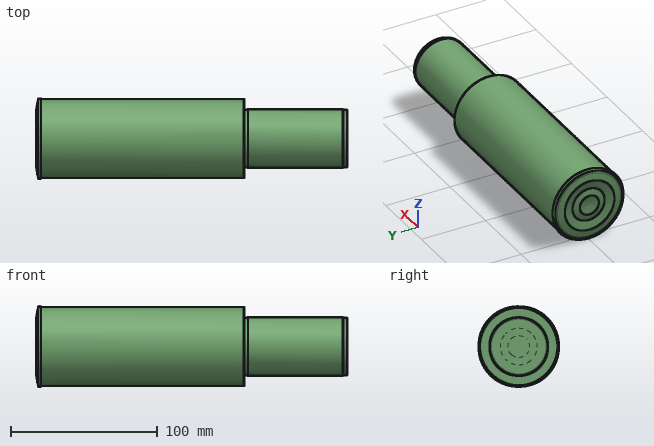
import cadquery as cq

TOTAL_LENGTH = 212.0
BODY_LENGTH = 142.0
BODY_RADIUS = 54.0 / 2
BODY_EDGE_CHAMFER = 0.6

RIM_RADIUS = 55.0 / 2
RIM_X = 2.1
RIM_END_X = 3.4
RIM_START_RADIUS = 26.0
RIM_START_X = 1.3
RIM_BACK_RADIUS = 27.3
RIM_BACK_X = 2.8
DOME_EDGE_RADIUS = 24.5
DOME_EDGE_X = 0.8
CREST_RADIUS = 19.3
VALLEY_RADIUS = 12.5
VALLEY_DEPTH = 1.5
BOSS_RADIUS = 7.5
BOSS_DEPTH = 0.5
CENTER_DEPTH = 1.5

STEM_RADIUS = 40.0 / 2
STEM_END_RADIUS = 39.5 / 2
NECK_LENGTH = 2.1
TIP_LENGTH = 2.8
STEP_TAPER = 0.5
TIP_FILLET = 1.0


def revolve_about_x(profile):
    """Turn a closed (axial position, radius) profile about the X axis."""
    return profile.close().revolve(360, (0, 0, 0), (1, 0, 0))


def make_body():
    """Large cylinder with a flared rim and concentric conical rings on its end face."""
    profile = (
        cq.Workplane("XY")
        .moveTo(CENTER_DEPTH, 0)
        .lineTo(BOSS_DEPTH, BOSS_RADIUS)
        .lineTo(VALLEY_DEPTH, VALLEY_RADIUS)
        .lineTo(0, CREST_RADIUS)
        .lineTo(DOME_EDGE_X, DOME_EDGE_RADIUS)
        .lineTo(RIM_START_X, RIM_START_RADIUS)
        .threePointArc((RIM_X, RIM_RADIUS), (RIM_BACK_X, RIM_BACK_RADIUS))
        .lineTo(RIM_END_X, BODY_RADIUS)
        .lineTo(BODY_LENGTH - BODY_EDGE_CHAMFER, BODY_RADIUS)
        .lineTo(BODY_LENGTH, BODY_RADIUS - BODY_EDGE_CHAMFER)
        .lineTo(BODY_LENGTH, 0)
    )
    return revolve_about_x(profile)


def make_stem():
    """Smaller cylinder on the shoulder, stepped down at both ends and rounded at the tip."""
    neck_end = BODY_LENGTH + NECK_LENGTH
    tip_start = TOTAL_LENGTH - TIP_LENGTH
    profile = (
        cq.Workplane("XY")
        .moveTo(BODY_LENGTH, 0)
        .lineTo(BODY_LENGTH, STEM_END_RADIUS)
        .lineTo(neck_end, STEM_END_RADIUS)
        .lineTo(neck_end, STEM_RADIUS)
        .lineTo(tip_start - STEP_TAPER, STEM_RADIUS)
        .lineTo(tip_start, STEM_END_RADIUS)
        .lineTo(TOTAL_LENGTH, STEM_END_RADIUS)
        .lineTo(TOTAL_LENGTH, 0)
    )
    return revolve_about_x(profile).faces(">X").edges().fillet(TIP_FILLET)


body = make_body()
stem = make_stem()
result = cq.Compound.makeCompound([body.val(), stem.val()])